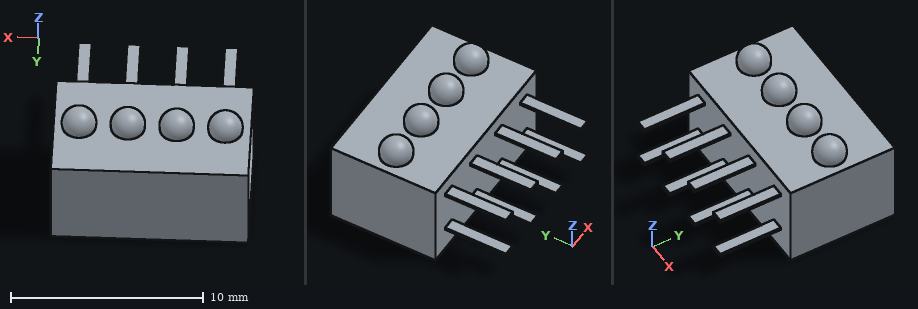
import cadquery as cq

body_width = 10.29
body_depth = 6.35
body_height = 5.08

lamp_count = 4
pitch = 2.54
lamp_radius = 0.91
overall_height = 6.22

lead_length = 3.68
lead_width = 0.7
lead_thickness = 0.14
lower_lead_height = 1.52
lead_heights = (lower_lead_height, lower_lead_height + pitch)

column_positions = [(i - (lamp_count - 1) / 2) * pitch for i in range(lamp_count)]


def housing():
    """Plain rectangular block."""
    return cq.Workplane("XY").box(body_width, body_depth, body_height, centered=(True, False, False))


def lamp(x):
    """Ball partly sunk into the top face."""
    centre = (x, body_depth / 2, overall_height - lamp_radius)
    return cq.Workplane("XY").sphere(lamp_radius).translate(centre)


def lead(x, z):
    """Flat strip running forward (-Y) from the front face."""
    strip = cq.Workplane("XY").box(lead_width, lead_length, lead_thickness)
    return strip.translate((x, -lead_length / 2, z))


result = housing()
for x in column_positions:
    result = result.union(lamp(x))
    for z in lead_heights:
        result = result.union(lead(x, z))